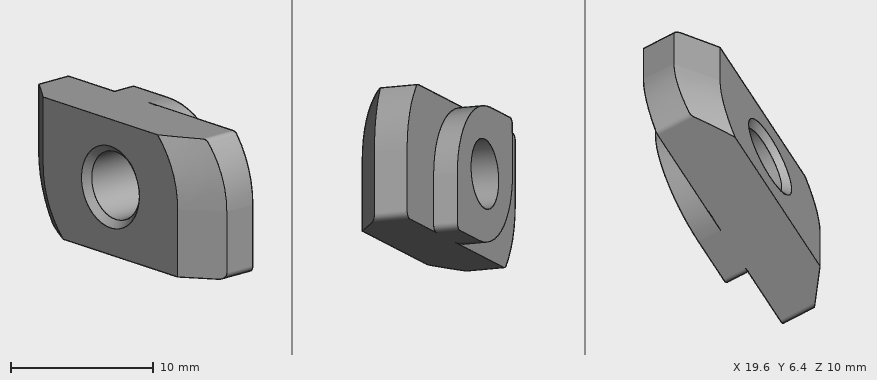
import cadquery as cq
import math

length = 19.6
width = 10.0
plate_thickness = 4.6
stem_height = 1.8
taper_depth = 2.12
taper_inset = 2.8
corner_radius = 0.49
end_round_radius = 7.75
stem_round_radius = 6.0
hole_diameter = 5.0
hole_chamfer = 0.5

half_length = length / 2
half_width = width / 2
total_height = plate_thickness + stem_height
face_reach = half_length - taper_inset
back_reach = face_reach + taper_inset * plate_thickness / taper_depth


def make_blank():
    """Plate with two opposite corners cut by large arcs."""
    arc_center = half_length - end_round_radius
    arc_angle = math.asin(half_width / end_round_radius)
    arc_end = arc_center + end_round_radius * math.cos(arc_angle)
    mid_x = arc_center + end_round_radius * math.cos(arc_angle / 2)
    mid_z = end_round_radius * math.sin(arc_angle / 2)
    return (
        cq.Workplane("XZ")
        .moveTo(half_length, 0)
        .threePointArc((mid_x, mid_z), (arc_end, half_width))
        .lineTo(-half_length, half_width)
        .lineTo(-half_length, 0)
        .threePointArc((-mid_x, -mid_z), (-arc_end, -half_width))
        .lineTo(half_length, -half_width)
        .close()
        .extrude(-plate_thickness)
        .edges("|Y and (>Z or <Z)")
        .fillet(corner_radius)
    )


def make_taper_quarter(side, round_corner):
    """Tapered envelope of one quarter: conical if round, planar if square.

    The round quarters have X and Z of equal sign, the square ones opposite.
    """
    profile = cq.Workplane("XY").polyline(
        [(0, 0), (face_reach, 0), (back_reach, plate_thickness), (0, plate_thickness)]
    ).close()
    if round_corner:
        quarter = profile.revolve(90, (0, 0, 0), (0, -1, 0))
    else:
        quarter = profile.extrude(-width)
    return quarter if side > 0 else quarter.rotate((0, 0, 0), (0, 1, 0), 180)


def make_plate():
    envelope = make_taper_quarter(1, True)
    envelope = envelope.union(make_taper_quarter(1, False))
    envelope = envelope.union(make_taper_quarter(-1, True))
    envelope = envelope.union(make_taper_quarter(-1, False))
    return make_blank().intersect(envelope)


def make_stem():
    """Square stem with large rounds on the same two corners as the plate."""
    return (
        cq.Workplane("XZ", origin=(0, plate_thickness, 0))
        .rect(width, width)
        .extrude(-stem_height)
        .edges("|Y and ((>X and >Z) or (<X and <Z))")
        .fillet(stem_round_radius)
        .edges("|Y and ((<X and >Z) or (>X and <Z))")
        .fillet(corner_radius)
    )


def make_hole():
    """Through hole with a 45 degree chamfer at the tapered face."""
    hole_radius = hole_diameter / 2
    bore = cq.Workplane("XZ").circle(hole_radius).extrude(-total_height)
    countersink = cq.Workplane("XY").polyline(
        [(0, 0), (hole_radius + hole_chamfer, 0), (hole_radius, hole_chamfer), (0, hole_chamfer)]
    ).close().revolve(360, (0, 0, 0), (0, 1, 0))
    return bore.union(countersink)


result = make_plate().union(make_stem()).cut(make_hole())